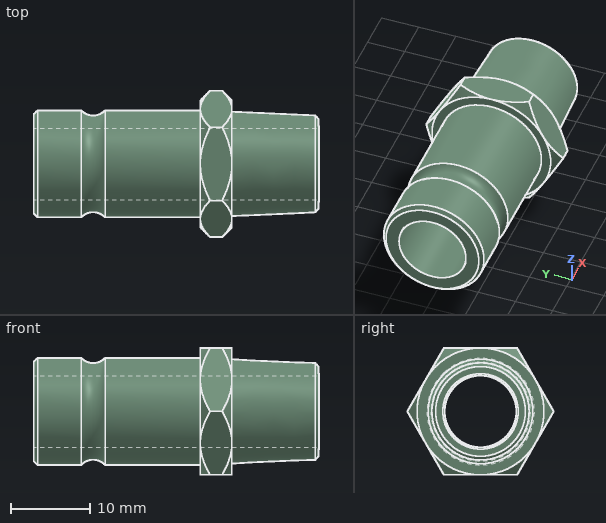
import cadquery as cq
import math


total_length = 36.0
groove_start = 6.0
groove_end = 9.0
hex_start = 21.0
hex_end = 25.0
rim_length = 0.1
taper_chamfer_length = 0.45

plug_radius = 13.5 / 2
plug_chamfer = 0.5
groove_depth = 0.65
hex_across_flats = 16.0
taper_large_radius = 6.6
taper_small_radius = 6.12
taper_chamfer_depth = 0.45
rim_radius = 4.75
bore_radius = 4.5


def revolve_about_x(profile):
    """Turn a closed profile, drawn as (axial, radial) points, once round the X axis."""
    return profile.close().revolve(360, (0, 0, 0), (1, 0, 0))


def make_plug():
    """Plain cylinder with a chamfered mouth and a round-bottomed locking groove."""
    groove_middle = (groove_start + groove_end) / 2
    profile = (
        cq.Workplane("XY")
        .lineTo(0, plug_radius - plug_chamfer)
        .lineTo(plug_chamfer, plug_radius)
        .lineTo(groove_start, plug_radius)
        .threePointArc((groove_middle, plug_radius - groove_depth), (groove_end, plug_radius))
        .lineTo(hex_end, plug_radius)
        .lineTo(hex_end, 0)
    )
    return revolve_about_x(profile)


def make_hex_collar():
    """Hexagon with points along Y, its corners turned off at 45 degrees on both faces."""
    face_radius = hex_across_flats / 2
    across_corners = hex_across_flats / math.cos(math.radians(30))
    width = hex_end - hex_start
    hexagon = (
        cq.Workplane("YZ", origin=(hex_start, 0, 0))
        .polygon(6, across_corners)
        .extrude(width)
    )
    double_cone = (
        cq.Workplane("XY")
        .moveTo(hex_start, 0)
        .lineTo(hex_start, face_radius)
        .lineTo(hex_start + width / 2, face_radius + width / 2)
        .lineTo(hex_end, face_radius)
        .lineTo(hex_end, 0)
    )
    return hexagon.intersect(revolve_about_x(double_cone))


def make_tapered_end():
    """Tapered thread blank with a chamfered tip and a low rim around the bore."""
    end_face = total_length - rim_length
    profile = (
        cq.Workplane("XY")
        .moveTo(hex_end, 0)
        .lineTo(hex_end, taper_large_radius)
        .lineTo(end_face - taper_chamfer_length, taper_small_radius)
        .lineTo(end_face, taper_small_radius - taper_chamfer_depth)
        .lineTo(end_face, rim_radius)
        .lineTo(total_length, rim_radius)
        .lineTo(total_length, 0)
    )
    return revolve_about_x(profile)


bore = cq.Workplane("YZ").circle(bore_radius).extrude(total_length)

result = make_plug().union(make_hex_collar()).union(make_tapered_end()).cut(bore)